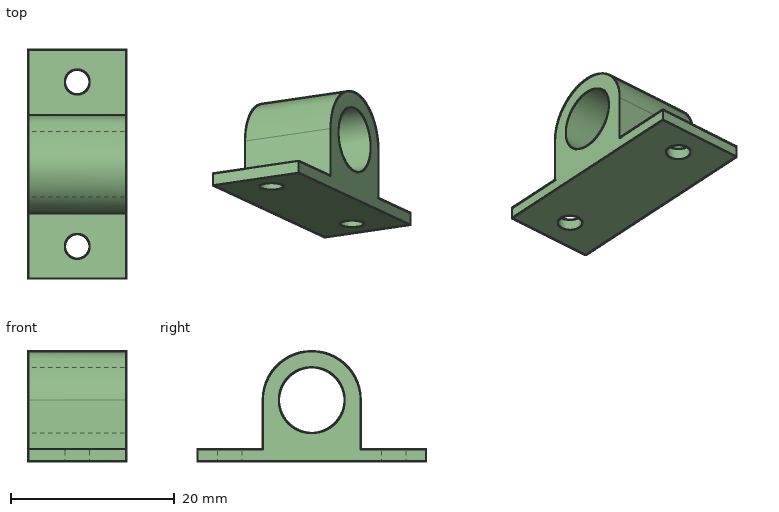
import cadquery as cq

base_length = 28.0
width = 12.0
base_thickness = 1.5
overall_height = 13.5
bore_diameter = 8.0
screw_hole_diameter = 3.0
screw_hole_spacing = 20.1

housing_radius = width / 2
bore_height = overall_height - housing_radius


def make_base():
    """Flat mounting plate with its underside at Z = 0."""
    return cq.Workplane("XY").box(width, base_length, base_thickness, centered=(True, True, False))


def make_housing():
    """Upright block with a half-round top, running along X."""
    return (
        cq.Workplane("YZ")
        .moveTo(-housing_radius, 0)
        .lineTo(-housing_radius, bore_height)
        .threePointArc((0, overall_height), (housing_radius, bore_height))
        .lineTo(housing_radius, 0)
        .close()
        .extrude(width / 2, both=True)
    )


def make_bore():
    """Cylinder through the housing, concentric with its round top."""
    return (
        cq.Workplane("YZ")
        .center(0, bore_height)
        .circle(bore_diameter / 2)
        .extrude(width / 2, both=True)
    )


def make_screw_holes():
    """One cylinder through each mounting flange."""
    return (
        cq.Workplane("XY")
        .rarray(0.28, screw_hole_spacing, 1, 2)
        .circle(screw_hole_diameter / 2)
        .extrude(base_thickness)
    )


result = make_base().union(make_housing()).cut(make_bore()).cut(make_screw_holes())